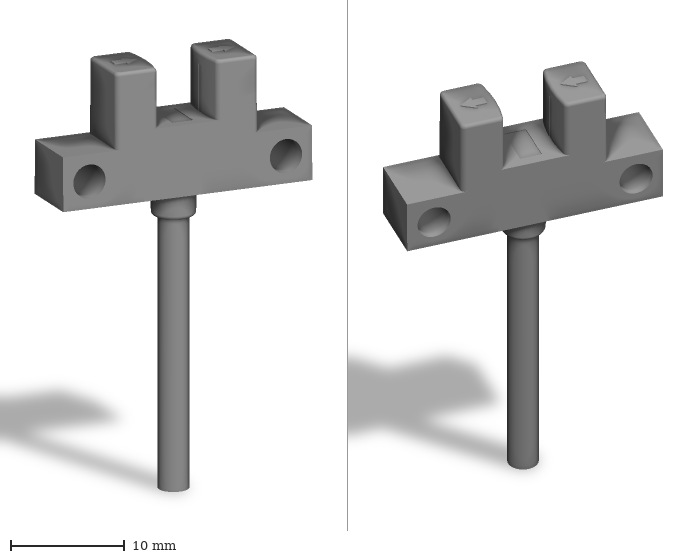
import cadquery as cq

THICKNESS = 6.15
LENGTH = 24.0
FLANGE_HEIGHT = 5.0
GAP_FLOOR = 6.55
PRONG_TOP = 12.05
SIDE_TAPER = 0.1
HOLE_DIAMETER = 3.1
HOLE_SPACING = 18.95

PRONG_OUTER_Y = 6.85
GAP_HALF_WIDTH = 2.55
BULGE = 0.4
CORNER_RADIUS = 0.48
TOP_RADIUS = 0.3

SLIT_WIDTH = 0.65
SLIT_DEPTH = 0.05
SLIT_TOP = 10.95

WINDOW_X = 4.0
WINDOW_Y = 2.03
WINDOW_DEPTH = 0.08

ARROW_LENGTH = 2.35
ARROW_WIDTH = 1.67
ARROW_HEAD = 1.27
ARROW_SHAFT = 0.88
ARROW_HEIGHT = 0.1

TOTAL_HEIGHT = 39.8
COLLAR_TOP_DIAMETER = 4.1
COLLAR_BOTTOM_DIAMETER = 3.98
COLLAR_HEIGHT = 2.5
COLLAR_RADIUS = 0.35
CABLE_DIAMETER = 2.8

HALF_THICKNESS = THICKNESS / 2
PRONG_MIDDLE_Y = (PRONG_OUTER_Y + GAP_HALF_WIDTH) / 2
CABLE_LENGTH = TOTAL_HEIGHT - PRONG_TOP - ARROW_HEIGHT


def block(size_x, size_y, bottom, top):
    """Box centred on the Z axis between two heights."""
    return (
        cq.Workplane("XY").workplane(offset=bottom)
        .rect(size_x, size_y).extrude(top - bottom)
    )


def taper_envelope():
    """Wedge whose two sloping sides are the side faces of the body and prongs."""
    return (
        cq.Workplane("XZ")
        .moveTo(-HALF_THICKNESS, 0)
        .lineTo(HALF_THICKNESS, 0)
        .lineTo(HALF_THICKNESS - SIDE_TAPER, PRONG_TOP)
        .lineTo(SIDE_TAPER - HALF_THICKNESS, PRONG_TOP)
        .close()
        .extrude(LENGTH / 2, both=True)
    )


def prong():
    """The +Y prong, from the flange top up, with tapered sides and rounded edges."""
    edge_y = GAP_HALF_WIDTH + BULGE
    blank = (
        cq.Workplane("XY").workplane(offset=FLANGE_HEIGHT)
        .moveTo(-HALF_THICKNESS, PRONG_OUTER_Y)
        .lineTo(-HALF_THICKNESS, edge_y)
        .threePointArc((0, GAP_HALF_WIDTH), (HALF_THICKNESS, edge_y))
        .lineTo(HALF_THICKNESS, PRONG_OUTER_Y)
        .close()
        .extrude(PRONG_TOP - FLANGE_HEIGHT)
    )
    upright_edges = cq.selectors.BoxSelector(
        (-THICKNESS, 0, FLANGE_HEIGHT + TOP_RADIUS), (THICKNESS, LENGTH, PRONG_TOP - TOP_RADIUS)
    )
    rounded = blank.intersect(taper_envelope()).edges(upright_edges).fillet(CORNER_RADIUS)
    rounded = rounded.faces(">Z").edges().fillet(TOP_RADIUS)
    slit = block(SLIT_WIDTH, 2 * (GAP_HALF_WIDTH + SLIT_DEPTH), GAP_FLOOR, SLIT_TOP)
    return rounded.cut(slit)


def arrow(middle_y):
    """Raised arrow centred on a prong top."""
    tip = middle_y + ARROW_LENGTH / 2
    tail = middle_y - ARROW_LENGTH / 2
    neck = tip - ARROW_HEAD
    right_side = [
        (ARROW_SHAFT / 2, tail),
        (ARROW_SHAFT / 2, neck),
        (ARROW_WIDTH / 2, neck),
    ]
    left_side = [(-x, y) for x, y in reversed(right_side)]
    return (
        cq.Workplane("XY").workplane(offset=PRONG_TOP)
        .polyline(right_side + [(0, tip)] + left_side).close()
        .extrude(ARROW_HEIGHT)
    )


def body():
    """Flanged base with the gap floor and the two mounting holes."""
    base = block(THICKNESS, LENGTH, 0, FLANGE_HEIGHT)
    edge_y = GAP_HALF_WIDTH + BULGE + CORNER_RADIUS
    raised_floor = block(THICKNESS, 2 * edge_y, FLANGE_HEIGHT, GAP_FLOOR)
    base = base.union(raised_floor).intersect(taper_envelope())
    holes = (
        cq.Workplane("YZ")
        .pushPoints([(side * HOLE_SPACING / 2, FLANGE_HEIGHT / 2) for side in (-1, 1)])
        .circle(HOLE_DIAMETER / 2)
        .extrude(THICKNESS, both=True)
    )
    window = block(WINDOW_X, WINDOW_Y, GAP_FLOOR - WINDOW_DEPTH, GAP_FLOOR)
    return base.cut(holes).cut(window)


def cable():
    """Round cable leaving the body through a collar with a rounded lower rim."""
    collar = (
        cq.Workplane("XY").circle(COLLAR_TOP_DIAMETER / 2)
        .workplane(offset=-COLLAR_HEIGHT).circle(COLLAR_BOTTOM_DIAMETER / 2)
        .loft(ruled=True)
    )
    collar = collar.faces("<Z").edges().fillet(COLLAR_RADIUS)
    return collar.union(cq.Workplane("XY").circle(CABLE_DIAMETER / 2).extrude(-CABLE_LENGTH))


result = body().union(cable())
for turn in (0, 180):
    result = result.union(prong().rotate((0, 0, 0), (0, 0, 1), turn))
for side in (-1, 1):
    result = result.union(arrow(side * PRONG_MIDDLE_Y))